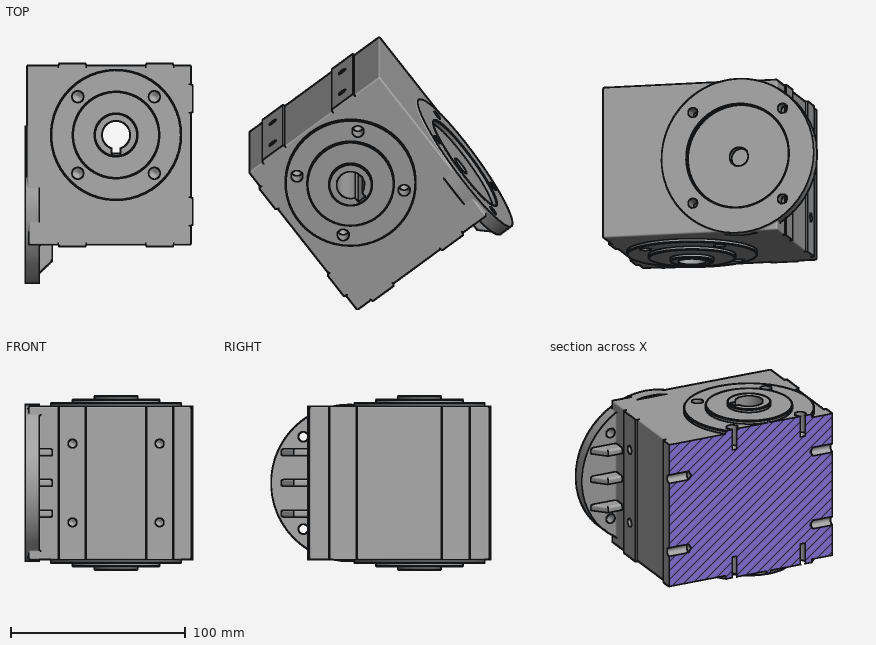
import cadquery as cq
import math


block_left = -51.0
block_right = 43.0
block_front = -63.0
block_back = 40.0
half_height = 44.0
edge_radius = 1.0
tolerance = 0.1

pad_height = 1.0
pad_taper = 0.5
pad_inner = 17.0
pad_outer = 33.0
side_pad_spans = ((12.6, 29.0), (-52.0, -35.7))
pad_hole_dia = 4.9
pad_hole_x = 25.0
pad_hole_z = 22.5
pad_hole_depth = 12.6

boss_steps = ((75.0, 46.0), (50.0, 48.0), (25.0, 50.0))
boss_chamfer = 0.5
bore_dia = 16.0
key_width = 5.0
key_reach = 10.6
face_hole_dia = 6.7
face_hole_offset = 21.9
face_hole_depth = 12.6

flange_x = -52.0
flange_thickness = 8.1
flange_back = flange_x + flange_thickness
flange_dia = 90.0
flange_y = -85.0 + flange_dia / 2
corner_left = -50.0
joint_radius = 0.9
recess_dia = 60.0
recess_depth = 3.0
recess_chamfer = 0.5
motor_hole_dia = 11.0
motor_hole_depth = 5.0
flange_hole_dia = 5.5
flange_hole_offset = 26.5
flange_hole_depth = 12.6

rib_pitch = 17.5
rib_width = 4.0
rib_right = -36.4
rib_knee = -72.1
rib_tip = -79.3
rib_edge = 1.3

drill_angle = math.radians(59)


def box(x0, x1, y0, y1, z0, z1):
    return cq.Workplane("XY").box(x1 - x0, y1 - y0, z1 - z0, centered=False).translate((x0, y0, z0))


def rod(point, direction, diameter, length):
    return cq.Workplane(cq.Solid.makeCylinder(diameter / 2, length, cq.Vector(*point), cq.Vector(*direction)))


def drill(point, direction, diameter, depth):
    """Blind hole with a conical drill point."""
    start = cq.Vector(*point)
    axis = cq.Vector(*direction)
    tip_length = diameter / 2 / math.tan(drill_angle)
    tip = cq.Solid.makeCone(diameter / 2, 0, tip_length, start + axis * depth, axis)
    return rod(point, direction, diameter, depth).union(cq.Workplane(tip))


def pad(start, end, base, top):
    """Full-height pad along X on a Y face, with slightly sloping sides."""
    root = base - math.copysign(edge_radius, top - base)
    outline = [
        (start, root),
        (end, root),
        (end, base),
        (end - pad_taper, top),
        (start + pad_taper, top),
        (start, base),
    ]
    return cq.Workplane("XY").polyline(outline).close().extrude(2 * half_height).translate((0, 0, -half_height))


def housing():
    """Block joined to the motor flange, with rounded edges and a rounded joint."""
    block = box(block_left, block_right, block_front, block_back, -half_height, half_height)
    notch = box(block_left, corner_left, block_front, flange_y, -half_height, half_height)
    block = block.cut(notch).edges("|X or |Y or (|Z and (<Y or >Y))").fillet(edge_radius)

    flange = rod((flange_x, flange_y, 0), (1, 0, 0), flange_dia, flange_thickness)
    joined = block.union(flange)

    side_joint = cq.selectors.BoxSelector(
        (block_left - tolerance, flange_y, -half_height),
        (block_left + tolerance, flange_y + flange_dia / 2 + tolerance, half_height),
        boundingbox=True,
    )
    joined = joined.edges("%CIRCLE").edges(side_joint).fillet(joint_radius)
    front_joint = cq.selectors.BoxSelector(
        (corner_left - tolerance, block_front - tolerance, edge_radius - half_height - tolerance),
        (flange_back + tolerance, block_front + tolerance, half_height - edge_radius + tolerance),
    )
    return joined.edges(front_joint).fillet(joint_radius)


result = housing()

for start, end in ((-pad_outer, -pad_inner), (pad_inner, pad_outer)):
    result = result.union(pad(start, end, block_front, block_front - pad_height))
    result = result.union(pad(start, end, block_back, block_back + pad_height))
for start, end in side_pad_spans:
    side_pad = pad(-end, -start, block_right, block_right + pad_height)
    result = result.union(side_pad.rotate((0, 0, 0), (0, 0, 1), -90))

for side in (-1, 1):
    for diameter, height in boss_steps:
        step = rod((0, 0, 0), (0, 0, side), diameter, height)
        result = result.union(step.faces(">Z" if side > 0 else "<Z").chamfer(boss_chamfer))

rib_outline = [
    (flange_back, block_front),
    (rib_right, block_front),
    (rib_right, rib_knee),
    (flange_back, rib_tip),
]
for row in (-1, 0, 1):
    rib = cq.Workplane("XY").polyline(rib_outline).close().extrude(rib_width / 2, both=True)
    rib = rib.edges("not (|Z or |X or <X)").fillet(rib_edge)
    result = result.union(rib.translate((0, 0, row * rib_pitch)))

result = result.cut(rod((0, 0, -63), (0, 0, 1), bore_dia, 126))
result = result.cut(box(-key_width / 2, key_width / 2, -key_reach, 0, -63, 63))
recess = rod((flange_x, flange_y, 0), (1, 0, 0), recess_dia, recess_depth)
mouth = cq.Solid.makeCone(recess_dia / 2 + recess_chamfer, recess_dia / 2, recess_chamfer,
                          cq.Vector(flange_x, flange_y, 0), cq.Vector(1, 0, 0))
result = result.cut(recess).cut(cq.Workplane(mouth))
result = result.cut(rod((flange_x, flange_y, 0), (1, 0, 0), motor_hole_dia, recess_depth + motor_hole_depth))
for a in (-1, 1):
    for b in (-1, 1):
        result = result.cut(drill((flange_x, flange_y + a * flange_hole_offset, b * flange_hole_offset),
                                  (1, 0, 0), flange_hole_dia, flange_hole_depth))
        result = result.cut(drill((a * pad_hole_x, block_front - pad_height, b * pad_hole_z), (0, 1, 0),
                                  pad_hole_dia, pad_hole_depth))
        result = result.cut(drill((a * pad_hole_x, block_back + pad_height, b * pad_hole_z), (0, -1, 0),
                                  pad_hole_dia, pad_hole_depth))
        for side in (-1, 1):
            result = result.cut(drill((a * face_hole_offset, b * face_hole_offset, side * boss_steps[0][1]),
                                      (0, 0, -side), face_hole_dia, face_hole_depth))